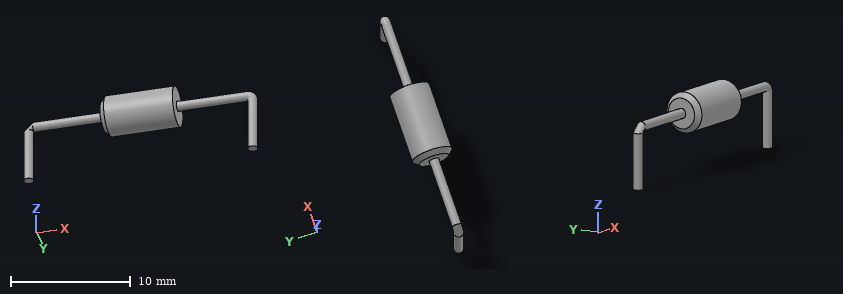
import cadquery as cq

SPAN = 20.25
TOTAL_HEIGHT = 7.06
BODY_DIAMETER = 3.52
BODY_LENGTH = 6.4
BAND_CHAMFER = 0.45
WIRE_DIAMETER = 0.87
BEND_RADIUS = 0.45

body_radius = BODY_DIAMETER / 2
wire_radius = WIRE_DIAMETER / 2
body_end = BODY_LENGTH / 2
bend_x = SPAN / 2 - wire_radius - BEND_RADIUS
bend_z = -BEND_RADIUS
leg_length = TOTAL_HEIGHT - body_radius - BEND_RADIUS


def make_body():
    """Cylindrical body with a chamfer around its -X end."""
    body = cq.Workplane("YZ", origin=(-body_end, 0, 0)).circle(body_radius).extrude(BODY_LENGTH)
    return body.faces("<X").edges().chamfer(BAND_CHAMFER)


def make_round_bend():
    """Quarter-turn elbow at the +X end, about a line along Y just clear of the underside of the wire."""
    return (
        cq.Workplane("YZ", origin=(bend_x, 0, 0))
        .circle(wire_radius)
        .revolve(90, (0, bend_z, 0), (1, bend_z, 0))
    )


def make_mitred_bend():
    """Elbow at the -X end with straight sides at 45 degrees between the run and leg ends."""
    run_end = cq.Wire.makeCircle(wire_radius, cq.Vector(-bend_x, 0, 0), cq.Vector(1, 0, 0))
    leg_end = run_end.rotate(cq.Vector(-bend_x, 0, bend_z), cq.Vector(-bend_x, 0.2, bend_z), -90)
    return cq.Workplane(cq.Solid.makeLoft([run_end, leg_end], True))


def make_lead(side, bend):
    """Bent wire from a body end face down to its tip; side is -1 for -X or +1 for +X."""
    run_length = bend_x - body_end
    run = cq.Workplane("YZ", origin=(side * body_end, 0, 0)).circle(wire_radius).extrude(side * run_length)
    leg = (
        cq.Workplane("XY", origin=(side * (bend_x + BEND_RADIUS), 0, bend_z))
        .circle(wire_radius)
        .extrude(-leg_length)
    )
    return run.union(bend).union(leg)


body = make_body()
leads = [make_lead(side, bend) for side, bend in ((-1, make_mitred_bend()), (1, make_round_bend()))]

result = cq.Compound.makeCompound([body.val(), *[lead.val() for lead in leads]])